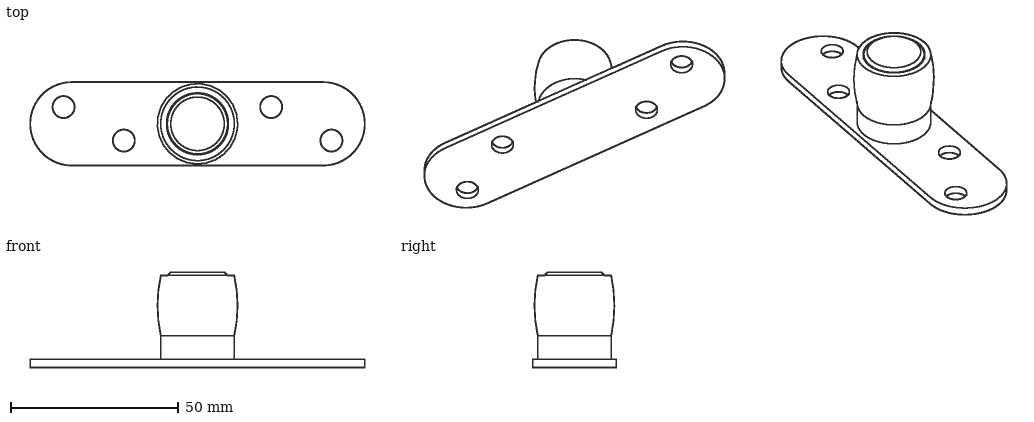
import cadquery as cq

plate_length = 100.0
plate_width = 25.0
plate_thickness = 2.5
screw_hole_diameter = 6.5
outer_hole_x = 40.0
inner_hole_x = 22.0
hole_row_y = 5.0

collar_diameter = 22.0
collar_height = 7.0
barrel_height = 18.0
barrel_end_diameter = collar_diameter
barrel_middle_diameter = 24.0
barrel_bore_diameter = 18.5
pin_diameter = 18.0
pin_projection = 1.0
pin_chamfer = 1.0

collar_bottom = plate_thickness
barrel_bottom = collar_bottom + collar_height
pin_height = barrel_height + pin_projection


def make_plate():
    """Round-ended plate with two staggered pairs of screw holes."""
    hole_centres = [
        (-outer_hole_x, hole_row_y),
        (-inner_hole_x, -hole_row_y),
        (inner_hole_x, hole_row_y),
        (outer_hole_x, -hole_row_y),
    ]
    blank = cq.Workplane("XY").slot2D(plate_length, plate_width).extrude(plate_thickness)
    holes = (
        cq.Workplane("XY")
        .pushPoints(hole_centres)
        .circle(screw_hole_diameter / 2)
        .extrude(plate_thickness)
    )
    return blank.cut(holes)


def make_collar():
    """Plain cylinder that carries the barrel and the pin."""
    return (
        cq.Workplane("XY")
        .workplane(offset=collar_bottom)
        .circle(collar_diameter / 2)
        .extrude(collar_height)
    )


def make_barrel():
    """Sleeve with a bulging outside and a straight bore."""
    barrel_top = barrel_bottom + barrel_height
    barrel_middle = barrel_bottom + barrel_height / 2
    bore_radius = barrel_bore_diameter / 2
    end_radius = barrel_end_diameter / 2
    return (
        cq.Workplane("XZ")
        .moveTo(bore_radius, barrel_bottom)
        .lineTo(end_radius, barrel_bottom)
        .threePointArc((barrel_middle_diameter / 2, barrel_middle), (end_radius, barrel_top))
        .lineTo(bore_radius, barrel_top)
        .close()
        .revolve(360, (0, 0, 0), (0, 1, 0))
    )


def make_pin():
    """Chamfered pin standing on the collar with clearance inside the barrel."""
    return (
        cq.Workplane("XY")
        .workplane(offset=barrel_bottom)
        .circle(pin_diameter / 2)
        .extrude(pin_height)
        .faces(">Z")
        .chamfer(pin_chamfer)
    )


plate = make_plate()
collar = make_collar()
barrel = make_barrel()
pin = make_pin()

result = cq.Compound.makeCompound([plate.val(), collar.val(), barrel.val(), pin.val()])